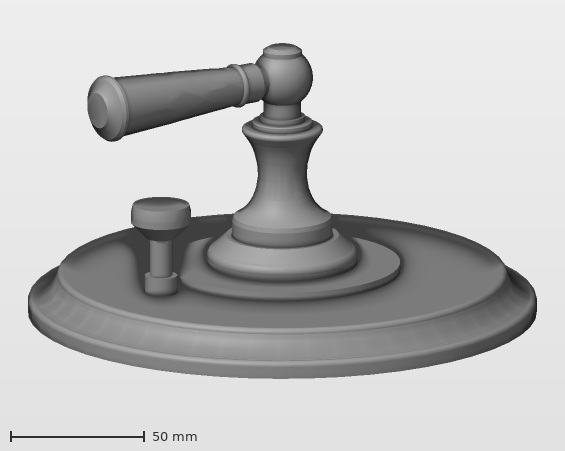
import cadquery as cq
import math

OVERALL_HEIGHT = 103.43

PLATE_RADIUS = 95.25
PLATE_RIM_HEIGHT = 4.5
PLATE_RIM_ROUND = 2.0
COVE_FOOT_RADIUS = 92.8
COVE_MID_RADIUS = 86.9
COVE_MID_Z = 9.7
COVE_TOP_RADIUS = 84.3
COVE_TOP_Z = 14.2
PLATE_TOP_Z = 16.2
PLATE_TOP_ROUND = PLATE_TOP_Z - COVE_TOP_Z

DIAL_RADIUS = 44.1
DIAL_TOP_Z = 19.4

BASE_RADIUS = 28.1
BASE_BAND_TOP_Z = 21.7
BASE_SHOULDER_RADIUS = 26.4
BASE_SHOULDER_Z = 25.2
BASE_TOP_RADIUS = 21.2
BASE_TOP_Z = 30.0
DRUM_RADIUS = 18.8
DRUM_BAND_TOP_Z = 35.5
DRUM_TOP_RADIUS = 18.3
DRUM_TOP_Z = 37.3

PILLAR_SKIRT_MID_RADIUS = 12.7
PILLAR_SKIRT_MID_Z = 42.0
PILLAR_SKIRT_TOP_RADIUS = 10.7
PILLAR_SKIRT_TOP_Z = 45.8
WAIST_RADIUS = 9.1
WAIST_Z = 54.0
WAIST_TOP_RADIUS = 10.1
WAIST_TOP_Z = 60.1
FLARE_MID_RADIUS = 11.2
FLARE_MID_Z = 63.8
FLARE_TOP_RADIUS = 12.9
FLARE_TOP_Z = 67.0
LIP_BOTTOM_RADIUS = 14.9
LIP_BOTTOM_Z = 69.9
LIP_RADIUS = 15.2
LIP_Z = 70.6
LIP_TOP_RADIUS = 14.0
LIP_TOP_Z = 72.1

LOWER_COLLAR_RADIUS = 11.3
LOWER_COLLAR_TOP_Z = 74.3
LOWER_COLLAR_ROUND = 0.5
UPPER_COLLAR_RADIUS = 8.5
UPPER_COLLAR_TOP_Z = 76.2
NECK_RADIUS = 7.0

BALL_RADIUS = 11.45
BALL_CENTRE_Z = 90.95
CAP_RADIUS = 7.3
CAP_BAND_TOP_Z = 101.5
CAP_CROWN_RADIUS = 5.2
CAP_CROWN_Z = 102.8
CAP_TOP_Z = 103.05

LEVER_NECK_RADIUS = 5.8
FERRULE_START = 12.0
FERRULE_START_RADIUS = 6.8
FERRULE_CHAMFER_END = 13.2
FERRULE_RADIUS = 7.4
BEAD_START = 19.9
BEAD_END = 22.3
BEAD_RADIUS = 8.3
GRIP_START_RADIUS = 7.2
GRIP_MID = 50.0
GRIP_MID_RADIUS = 9.5
GRIP_END = 77.6
GRIP_END_RADIUS = 11.4
FLANGE_RADIUS = OVERALL_HEIGHT - BALL_CENTRE_Z
FLANGE_CREST_START = 78.1
FLANGE_CREST_END = 79.2
FLANGE_END = 80.5
FLANGE_END_RADIUS = 11.6
TIP_COVE_MID = 81.5
TIP_COVE_MID_RADIUS = 9.5
TIP_SHOULDER = 83.0
TIP_RADIUS = 7.4
TIP_FACE_RADIUS = 6.7
LEVER_LENGTH = 83.8

KNOB_Y = -55.0
KNOB_SLEEVE_RADIUS = 6.1
KNOB_SLEEVE_TOP_Z = 22.8
KNOB_STEM_RADIUS = 4.2
KNOB_CONE_BOTTOM_RADIUS = 5.6
KNOB_CONE_BOTTOM_Z = 37.4
KNOB_RADIUS = 11.3
KNOB_CONE_TOP_Z = 43.3
KNOB_BAND_TOP_Z = 45.9
KNOB_TOP_RADIUS = 10.6
KNOB_TOP_Z = 50.2
KNOB_SIDE_MID_RADIUS = 11.15
KNOB_SIDE_MID_Z = 48.2

BOTTOM_Z = 0.0

QUARTER_MID = math.sqrt(0.5)


def start_profile(height):
    """Start a half profile (radius, height) on the axis."""
    return cq.Workplane("XZ").moveTo(0, height)


def spin(profile, top):
    """Close a half profile at the axis and turn it about Z."""
    return profile.lineTo(0, top).close().revolve(360, (0, 0, 0), (0, 1, 0))


def disc(radius, bottom, top):
    return cq.Workplane("XY").workplane(offset=bottom).circle(radius).extrude(top - bottom)


def round_corner(profile, radius, height, size):
    """Add a convex quarter round ending size inside and above (radius, height)."""
    mid = (radius - size * (1 - QUARTER_MID), height + size * QUARTER_MID)
    return profile.threePointArc(mid, (radius - size, height + size))


def make_plate():
    profile = (
        start_profile(BOTTOM_Z)
        .lineTo(PLATE_RADIUS, BOTTOM_Z)
        .lineTo(PLATE_RADIUS, PLATE_RIM_HEIGHT)
    )
    profile = round_corner(profile, PLATE_RADIUS, PLATE_RIM_HEIGHT, PLATE_RIM_ROUND)
    profile = (
        profile.lineTo(COVE_FOOT_RADIUS, PLATE_RIM_HEIGHT + PLATE_RIM_ROUND)
        .threePointArc((COVE_MID_RADIUS, COVE_MID_Z), (COVE_TOP_RADIUS, COVE_TOP_Z))
    )
    profile = round_corner(profile, COVE_TOP_RADIUS, COVE_TOP_Z, PLATE_TOP_ROUND)
    return spin(profile, PLATE_TOP_Z)


def make_base():
    shoulder_run = BASE_RADIUS - BASE_SHOULDER_RADIUS
    shoulder_rise = BASE_SHOULDER_Z - BASE_BAND_TOP_Z
    shoulder_mid = (
        BASE_RADIUS - shoulder_run * (1 - QUARTER_MID),
        BASE_BAND_TOP_Z + shoulder_rise * QUARTER_MID,
    )
    profile = (
        start_profile(DIAL_TOP_Z)
        .lineTo(BASE_RADIUS, DIAL_TOP_Z)
        .lineTo(BASE_RADIUS, BASE_BAND_TOP_Z)
        .threePointArc(shoulder_mid, (BASE_SHOULDER_RADIUS, BASE_SHOULDER_Z))
        .lineTo(BASE_TOP_RADIUS, BASE_TOP_Z)
        .lineTo(DRUM_RADIUS, BASE_TOP_Z)
        .lineTo(DRUM_RADIUS, DRUM_BAND_TOP_Z)
        .lineTo(DRUM_TOP_RADIUS, DRUM_TOP_Z)
    )
    return spin(profile, DRUM_TOP_Z)


def make_pillar():
    profile = (
        start_profile(DRUM_TOP_Z)
        .lineTo(DRUM_TOP_RADIUS, DRUM_TOP_Z)
        .threePointArc(
            (PILLAR_SKIRT_MID_RADIUS, PILLAR_SKIRT_MID_Z),
            (PILLAR_SKIRT_TOP_RADIUS, PILLAR_SKIRT_TOP_Z),
        )
        .threePointArc((WAIST_RADIUS, WAIST_Z), (WAIST_TOP_RADIUS, WAIST_TOP_Z))
        .threePointArc((FLARE_MID_RADIUS, FLARE_MID_Z), (FLARE_TOP_RADIUS, FLARE_TOP_Z))
        .lineTo(LIP_BOTTOM_RADIUS, LIP_BOTTOM_Z)
        .threePointArc((LIP_RADIUS, LIP_Z), (LIP_TOP_RADIUS, LIP_TOP_Z))
    )
    return spin(profile, LIP_TOP_Z)


def make_collars():
    lower = disc(LOWER_COLLAR_RADIUS, LIP_TOP_Z, LOWER_COLLAR_TOP_Z)
    lower = lower.faces(">Z").edges().fillet(LOWER_COLLAR_ROUND)
    upper = disc(UPPER_COLLAR_RADIUS, LOWER_COLLAR_TOP_Z, UPPER_COLLAR_TOP_Z)
    neck = disc(NECK_RADIUS, UPPER_COLLAR_TOP_Z, BALL_CENTRE_Z)
    return lower.union(upper).union(neck)


def make_ball():
    return cq.Workplane("XY").sphere(BALL_RADIUS).translate((0, 0, BALL_CENTRE_Z))


def make_cap():
    """Short button rising from the ball, with a sloped shoulder and a shallow domed crown."""
    crown_rise = CAP_TOP_Z - CAP_CROWN_Z
    dome_radius = (CAP_CROWN_RADIUS**2 + crown_rise**2) / (2 * crown_rise)
    mid_radius = CAP_CROWN_RADIUS / 2
    mid_z = CAP_TOP_Z - dome_radius + math.sqrt(dome_radius**2 - mid_radius**2)
    profile = (
        start_profile(BALL_CENTRE_Z)
        .lineTo(CAP_RADIUS, BALL_CENTRE_Z)
        .lineTo(CAP_RADIUS, CAP_BAND_TOP_Z)
        .lineTo(CAP_CROWN_RADIUS, CAP_CROWN_Z)
        .threePointArc((mid_radius, mid_z), (0, CAP_TOP_Z))
    )
    return profile.close().revolve(360, (0, 0, 0), (0, 1, 0))


def make_lever():
    """Turn the lever upright about Z, then lay it along -Y at the ball centre."""
    profile = (
        start_profile(0)
        .lineTo(LEVER_NECK_RADIUS, 0)
        .lineTo(LEVER_NECK_RADIUS, FERRULE_START)
        .lineTo(FERRULE_START_RADIUS, FERRULE_START)
        .lineTo(FERRULE_RADIUS, FERRULE_CHAMFER_END)
        .lineTo(FERRULE_RADIUS, BEAD_START)
        .threePointArc((BEAD_RADIUS, (BEAD_START + BEAD_END) / 2), (GRIP_START_RADIUS, BEAD_END))
        .threePointArc((GRIP_MID_RADIUS, GRIP_MID), (GRIP_END_RADIUS, GRIP_END))
        .lineTo(FLANGE_RADIUS, FLANGE_CREST_START)
        .lineTo(FLANGE_RADIUS, FLANGE_CREST_END)
        .lineTo(FLANGE_END_RADIUS, FLANGE_END)
        .threePointArc((TIP_COVE_MID_RADIUS, TIP_COVE_MID), (TIP_RADIUS, TIP_SHOULDER))
        .lineTo(TIP_FACE_RADIUS, LEVER_LENGTH)
    )
    lever = spin(profile, LEVER_LENGTH)
    return lever.rotate((0, 0, 0), (1, 0, 0), 90).translate((0, 0, BALL_CENTRE_Z))


def make_knob():
    profile = (
        start_profile(BOTTOM_Z)
        .lineTo(KNOB_SLEEVE_RADIUS, BOTTOM_Z)
        .lineTo(KNOB_SLEEVE_RADIUS, KNOB_SLEEVE_TOP_Z)
        .lineTo(KNOB_STEM_RADIUS, KNOB_SLEEVE_TOP_Z)
        .lineTo(KNOB_STEM_RADIUS, KNOB_CONE_BOTTOM_Z)
        .lineTo(KNOB_CONE_BOTTOM_RADIUS, KNOB_CONE_BOTTOM_Z)
        .lineTo(KNOB_RADIUS, KNOB_CONE_TOP_Z)
        .lineTo(KNOB_RADIUS, KNOB_BAND_TOP_Z)
        .threePointArc((KNOB_SIDE_MID_RADIUS, KNOB_SIDE_MID_Z), (KNOB_TOP_RADIUS, KNOB_TOP_Z))
    )
    return spin(profile, KNOB_TOP_Z).translate((0, KNOB_Y, 0))


result = (
    make_plate()
    .union(disc(DIAL_RADIUS, PLATE_TOP_Z, DIAL_TOP_Z))
    .union(make_base())
    .union(make_pillar())
    .union(make_collars())
    .union(make_ball())
    .union(make_cap())
    .union(make_lever())
    .union(make_knob())
)